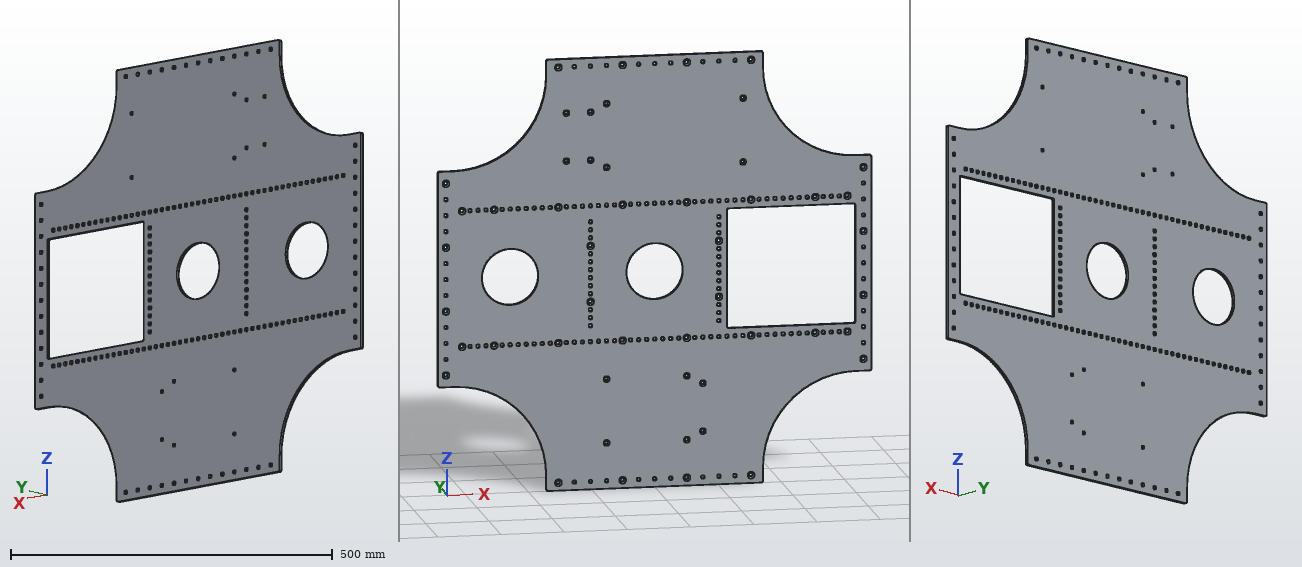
import cadquery as cq

SIZE = 686.0
THICKNESS = 5.0
PITCHES_ACROSS = 54
PITCH = SIZE / PITCHES_ACROSS

ARM_HALF_WIDTH = SIZE / 4
SCALLOP_RADIUS = 11.5 * PITCH
CORNER_RADIUS = PITCH / 4

ROUND_OPENING_DIAMETER = 89.0
ROUND_OPENING_COLUMNS = (-18, 0)
WINDOW_LEFT = 9
WINDOW_RIGHT = 25
WINDOW_HALF_HEIGHT = 7.5

PLAIN_DIAMETER = 5.6
SCREW_DIAMETER = 5.6
SCREW_HEAD_DIAMETER = 11.0
MOUNT_DIAMETER = 5.0
MOUNT_HEAD_DIAMETER = 9.5
COUNTERSINK_ANGLE = 82

EDGE_LINE = 26
EDGE_END = 12
EDGE_STEP = 2
EDGE_SCREWS = (-12, -4, 4, 12)
RAIL_LINE = 8.5
RAIL_END = 24
RAIL_STEP = 1
RAIL_SCREWS = (-24, -20, -12, -4, 4, 12, 20, 24)
POST_LINE = 8
POST_END = 6.5
POST_STEP = 1
POST_SCREWS = (-3.5, 3.5)

MOUNT_GROUPS = (
    ((-11, -8), (14.25, 20.25)),
    ((-6, 11), (13.25, 21.25)),
    ((-6, 4), (-21.25, -13.25)),
    ((6,), (-20.25, -14.25)),
)


def in_units(grid_points):
    """Convert grid positions from pitches to lengths."""
    return [(x * PITCH, z * PITCH) for x, z in grid_points]


def row_pair(line, end, step, screws):
    """Plain and screw positions (along, across) of two rows at -line and +line."""
    count = round(2 * end / step) + 1
    along = [-end + i * step for i in range(count)]
    plain = [(p, side * line) for side in (-1, 1) for p in along if p not in screws]
    screw = [(p, side * line) for side in (-1, 1) for p in screws]
    return plain, screw


def turned(points):
    """Swap X and Z, so that horizontal rows become vertical ones."""
    return [(z, x) for x, z in points]


def make_plate():
    """Cross-shaped plate with a scallop in each inner corner and rounded arm tips."""
    arm_width = 2 * ARM_HALF_WIDTH
    plate = (
        cq.Workplane("XZ").rect(SIZE, arm_width).extrude(THICKNESS / 2, both=True)
        .union(cq.Workplane("XZ").rect(arm_width, SIZE).extrude(THICKNESS / 2, both=True))
    )
    reach = ARM_HALF_WIDTH + PITCH
    inner_box = cq.selectors.BoxSelector((-reach, -THICKNESS, -reach), (reach, THICKNESS, reach))
    plate = plate.edges("|Y").edges(inner_box).fillet(SCALLOP_RADIUS)
    return plate.edges("|Y and (<X or >X or <Z or >Z)").fillet(CORNER_RADIUS)


def make_round_openings():
    """Cutters for the large round openings."""
    centres = in_units([(column, 0) for column in ROUND_OPENING_COLUMNS])
    return (
        cq.Workplane("XZ").pushPoints(centres).circle(ROUND_OPENING_DIAMETER / 2)
        .extrude(THICKNESS, both=True)
    )


def make_window():
    """Cutter for the rectangular window with rounded corners."""
    width = (WINDOW_RIGHT - WINDOW_LEFT) * PITCH
    height = 2 * WINDOW_HALF_HEIGHT * PITCH
    centre_x = (WINDOW_LEFT + WINDOW_RIGHT) / 2 * PITCH
    return (
        cq.Workplane("XZ").center(centre_x, 0).rect(width, height)
        .extrude(THICKNESS, both=True)
        .edges("|Y").fillet(CORNER_RADIUS)
    )


def at_front(plate, grid_points):
    """Place grid points on the front face of the plate, ready for drilling."""
    front = cq.Workplane("XZ", origin=(0, -THICKNESS / 2, 0))
    return plate.copyWorkplane(front).pushPoints(in_units(grid_points))


edge_plain, edge_screws = row_pair(EDGE_LINE, EDGE_END, EDGE_STEP, EDGE_SCREWS)
rail_plain, rail_screws = row_pair(RAIL_LINE, RAIL_END, RAIL_STEP, RAIL_SCREWS)
post_plain, post_screws = row_pair(POST_LINE, POST_END, POST_STEP, POST_SCREWS)

plain_holes = edge_plain + turned(edge_plain) + rail_plain + turned(post_plain)
screw_holes = edge_screws + turned(edge_screws) + rail_screws + turned(post_screws)
mount_holes = [(x, z) for columns, rows in MOUNT_GROUPS for x in columns for z in rows]

result = make_plate().cut(make_round_openings()).cut(make_window())
result = at_front(result, plain_holes).hole(PLAIN_DIAMETER)
result = at_front(result, screw_holes).cskHole(SCREW_DIAMETER, SCREW_HEAD_DIAMETER, COUNTERSINK_ANGLE)
result = at_front(result, mount_holes).cskHole(MOUNT_DIAMETER, MOUNT_HEAD_DIAMETER, COUNTERSINK_ANGLE)